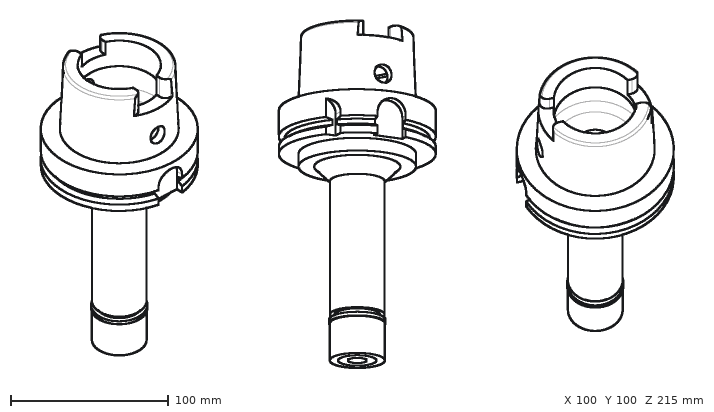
import cadquery as cq

total_height = 215.0
hole_dia = 12.0

taper_length = 49.9
taper_tip_dia = 71.5
taper_base_dia = 75.7
tip_fillet = 1.7
mouth_dia = 52.9
mouth_depth = 20.0
chamber_dia = 63.0
chamber_depth = 45.4
chamber_fillet = 5.0
cross_hole_depth = 34.8

drive_slot_width = 19.8
drive_slot_depths = {-1: 9.9, 1: 14.8}
slot_lip_radius = 5.0
slot_lip_reach = 32.5

flange_dia = 100.0
flange_thickness = 28.5
groove_dia = 92.7
groove_upper_edge = 17.2
groove_floor_top = 18.5
groove_floor_bottom = 21.7
groove_lower_edge = 23.6

keyway_width = 20.0
keyway_roof = 4.5
keyway_floor = 44.0
notch_floor = 32.0
notch_offset = 41.3

collar_dia = 74.8
collar_length = 8.4
cone_dia = 54.8
cone_length = 9.7
shank_dia = 34.8
neck_dia = 29.0
bore_dia = 24.3

nut_height = 27.0
nut_dia = 35.0
nut_rim_dia = 36.0
nut_rim_height = 2.4
nut_step = 0.2
nut_gap = 3.2
nut_lip = 5.0
collet_length = 34.0

flange_top = total_height - taper_length
flange_bottom = flange_top - flange_thickness
collar_bottom = flange_bottom - collar_length
shank_top = collar_bottom - cone_length
shank_bottom = nut_height + nut_gap


def cylinder(diameter, bottom, top):
    """Cylinder on the Z axis between two levels."""
    return cq.Workplane("XY").workplane(offset=bottom).circle(diameter / 2).extrude(top - bottom)


def holder_blank():
    """Revolved outside shape of the holder, from the neck to the taper tip."""
    blank = (
        cq.Workplane("XZ")
        .moveTo(0, nut_lip)
        .lineTo(neck_dia / 2, nut_lip)
        .lineTo(neck_dia / 2, shank_bottom)
        .lineTo(shank_dia / 2, shank_bottom)
        .lineTo(shank_dia / 2, shank_top)
        .lineTo(cone_dia / 2, collar_bottom)
        .lineTo(collar_dia / 2, collar_bottom)
        .lineTo(collar_dia / 2, flange_bottom)
        .lineTo(flange_dia / 2, flange_bottom)
        .lineTo(flange_dia / 2, flange_top - groove_lower_edge)
        .lineTo(groove_dia / 2, flange_top - groove_floor_bottom)
        .lineTo(groove_dia / 2, flange_top - groove_floor_top)
        .lineTo(flange_dia / 2, flange_top - groove_upper_edge)
        .lineTo(flange_dia / 2, flange_top)
        .lineTo(taper_base_dia / 2, flange_top)
        .lineTo(taper_tip_dia / 2, total_height)
        .lineTo(0, total_height)
        .close()
        .revolve(360, (0, 0, 0), (0, 1, 0))
    )
    return blank.faces(">Z").edges().fillet(tip_fillet)


def holder_cavity():
    """Taper mouth, wider clamping chamber with a rounded floor edge, and the long bore down to the collet."""
    mouth = cylinder(mouth_dia, total_height - mouth_depth, total_height)
    chamber_floor = total_height - chamber_depth
    chamber = cylinder(chamber_dia, chamber_floor, total_height - mouth_depth)
    chamber = chamber.faces("<Z").edges().fillet(chamber_fillet)
    bore = cylinder(bore_dia, nut_lip, chamber_floor)
    return mouth.union(chamber).union(bore)


def cross_hole():
    """Radial hole along X through both walls of the taper."""
    return (
        cq.Workplane("YZ")
        .center(0, total_height - cross_hole_depth)
        .circle(hole_dia / 2)
        .extrude(taper_base_dia / 2, both=True)
    )


def drive_slot(side, depth):
    """Slot through the taper rim on one X side, flaring outward with rounded edges."""
    half_width = drive_slot_width / 2
    flare_half_width = half_width + slot_lip_radius
    flare_start = slot_lip_reach - slot_lip_radius
    outside = taper_base_dia / 2
    slot = (
        cq.Workplane("XY")
        .workplane(offset=total_height - depth)
        .moveTo(0, -half_width)
        .lineTo(flare_start, -half_width)
        .radiusArc((slot_lip_reach, -flare_half_width), slot_lip_radius)
        .lineTo(slot_lip_reach, -outside)
        .lineTo(outside, -outside)
        .lineTo(outside, outside)
        .lineTo(slot_lip_reach, outside)
        .lineTo(slot_lip_reach, flare_half_width)
        .radiusArc((flare_start, half_width), slot_lip_radius)
        .lineTo(0, half_width)
        .close()
        .extrude(depth)
    )
    return slot if side > 0 else slot.mirror("YZ")


def keyway(side, offset, floor):
    """Round-topped keyway cut along X into one side of the flange."""
    half_width = keyway_width / 2
    roof = flange_top - keyway_roof
    spring = roof - half_width
    return (
        cq.Workplane("YZ", origin=(side * floor, offset, 0))
        .moveTo(-half_width, flange_bottom)
        .lineTo(-half_width, spring)
        .threePointArc((0, roof), (half_width, spring))
        .lineTo(half_width, flange_bottom)
        .close()
        .extrude(side * flange_dia / 2)
    )


def make_holder():
    holder = holder_blank().cut(holder_cavity()).cut(cross_hole())
    for side, depth in drive_slot_depths.items():
        holder = holder.cut(drive_slot(side, depth))
        holder = holder.cut(keyway(side, 0, keyway_floor))
    return holder.cut(keyway(-1, notch_offset, notch_floor))


def make_nut():
    """Clamping nut around the neck, with a slightly wider rim at its top and a lip under the holder."""
    rim_bottom = nut_height - nut_rim_height
    return (
        cq.Workplane("XZ")
        .moveTo(bore_dia / 2, 0)
        .lineTo(nut_dia / 2, 0)
        .lineTo(nut_dia / 2, rim_bottom - nut_step)
        .lineTo(nut_rim_dia / 2, rim_bottom)
        .lineTo(nut_rim_dia / 2, nut_height)
        .lineTo(neck_dia / 2, nut_height)
        .lineTo(neck_dia / 2, nut_lip)
        .lineTo(bore_dia / 2, nut_lip)
        .close()
        .revolve(360, (0, 0, 0), (0, 1, 0))
    )


def make_collet():
    """Sleeve at the lower end of the bore, flush with the nut face."""
    return cylinder(bore_dia, 0, collet_length).cut(cylinder(hole_dia, 0, collet_length))


holder = make_holder()
nut = make_nut()
collet = make_collet()

result = cq.Compound.makeCompound([holder.val(), nut.val(), collet.val()])